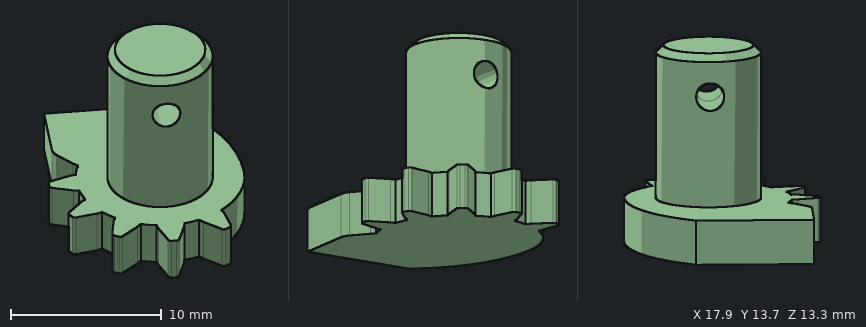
import cadquery as cq
import math

plate_thickness = 3.0
root_radius = 5.6
turn_angle = -32.6

tooth_pitch = 30
tooth_angles = [30 - tooth_pitch * i for i in range(5)]
tip_radius = 7.43
root_half_width = 0.93
shoulder_radius = 5.88
shoulder_half_width = 0.86
tip_half_width = 0.32
tip_fillet = 0.22
tooth_root_x = math.sqrt(root_radius**2 - root_half_width**2)

lobe_center_offset = 4.1
lobe_radius = root_radius + lobe_center_offset
lobe_flat_distance = 8.18
lobe_heel_distance = 6.73
heel_fillet = 1.0
heel_angle = tooth_angles[-1] - tooth_pitch

shaft_diameter = 7
total_height = 13.3
shaft_chamfer = 0.5
hole_diameter = 1.85
hole_height = 10.42


def polar_offset(angle, along, across):
    """Point given along and across a radial axis at the given angle."""
    c = math.cos(math.radians(angle))
    s = math.sin(math.radians(angle))
    return (along * c - across * s, along * s + across * c)


def make_tooth():
    """One tooth along +X, starting inside the disc."""
    inner_x = root_radius - root_half_width
    upper = [
        (inner_x, root_half_width),
        (tooth_root_x, root_half_width),
        (shoulder_radius, shoulder_half_width),
        (tip_radius, tip_half_width),
    ]
    lower = [(x, -y) for x, y in reversed(upper)]
    tooth = cq.Workplane("XY").polyline(upper + lower).close().extrude(plate_thickness)
    return tooth.edges("|Z and >X").fillet(tip_fillet)


def make_lobe():
    """Cam lobe on the -X side, closed below by a tooth flank."""
    arc_end_y = math.sqrt(lobe_radius**2 - lobe_flat_distance**2) - lobe_center_offset
    arc_mid_angle = math.radians(90) + math.asin(lobe_flat_distance / lobe_radius) / 2
    arc_mid = (
        lobe_radius * math.cos(arc_mid_angle),
        lobe_radius * math.sin(arc_mid_angle) - lobe_center_offset,
    )
    shoulder = polar_offset(heel_angle, shoulder_radius, shoulder_half_width)
    flank_tip = polar_offset(heel_angle, tip_radius, tip_half_width)
    flank_root = polar_offset(heel_angle, tooth_root_x, root_half_width)
    reach = (-lobe_heel_distance - shoulder[1]) / (flank_tip[1] - shoulder[1])
    heel_x = shoulder[0] + reach * (flank_tip[0] - shoulder[0])
    lobe = (
        cq.Workplane("XY")
        .moveTo(0, root_radius)
        .threePointArc(arc_mid, (-lobe_flat_distance, arc_end_y))
        .lineTo(-lobe_flat_distance, -lobe_heel_distance)
        .lineTo(heel_x, -lobe_heel_distance)
        .lineTo(*shoulder)
        .lineTo(*flank_root)
        .lineTo(0, 0)
        .close()
        .extrude(plate_thickness)
    )
    return lobe.edges("|Z and <Y").edges(">X").fillet(heel_fillet)


def make_shaft():
    shaft = cq.Workplane("XY").circle(shaft_diameter / 2).extrude(total_height)
    shaft = shaft.faces(">Z").chamfer(shaft_chamfer)
    cross_hole = (
        cq.Workplane("YZ")
        .center(0, hole_height)
        .circle(hole_diameter / 2)
        .extrude(shaft_diameter, both=True)
    )
    return shaft.cut(cross_hole)


plate = cq.Workplane("XY").circle(root_radius).extrude(plate_thickness).union(make_lobe())
for tooth_angle in tooth_angles:
    plate = plate.union(make_tooth().rotate((0, 0, 0), (0, 0, 1), tooth_angle))

result = plate.union(make_shaft()).rotate((0, 0, 0), (0, 0, 1), turn_angle)